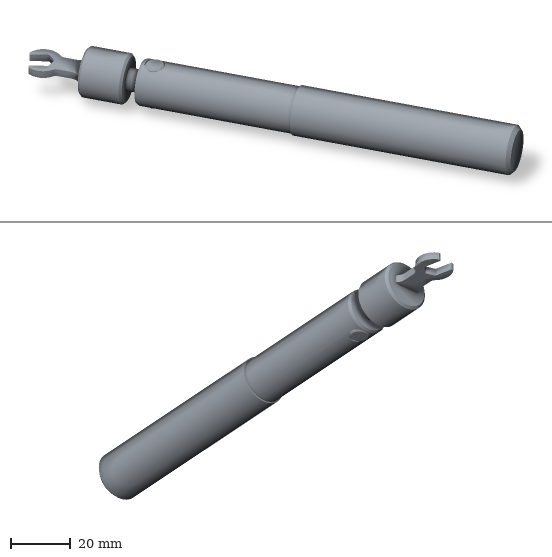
import cadquery as cq
import math

COLLAR_START = 20.2
COLLAR_END = 35.7
HANDLE_START = 40.0
GRIP_START = 94.7
TOOL_END = 171.5

COLLAR_RADIUS = 8.7
NECK_RADIUS = 4.0
HANDLE_RADIUS = 8.0
GRIP_RADIUS = 8.5

COLLAR_CHAMFER = 0.9
HANDLE_CHAMFER_LENGTH = 1.0
HANDLE_CHAMFER_DEPTH = 0.5
GRIP_CHAMFER = 1.4

BLADE_THICKNESS = 2.7
WRENCH_RADIUS = 6.3
JAW_OPENING = 6.3
JAW_REACH = 4.8
JAW_ANGLE = 15.0
STEM_HALF_WIDTH = 3.6
STEM_START = 12.0
FLARE_START = 16.5
FLARE_END = 19.5
FLARE_HALF_WIDTH = 4.8
FLARE_RADIUS = 4.5

PIN_X = 44.8
PIN_RADIUS = 3.5
PIN_CHAMFER = 0.5

jaw_angle = math.radians(JAW_ANGLE)
jaw_tip_offset = math.sqrt(WRENCH_RADIUS**2 - JAW_REACH**2)
WRENCH_X = JAW_REACH * math.cos(jaw_angle) + jaw_tip_offset * math.sin(jaw_angle)


def turned_body():
    """Collar, neck, handle and grip as one revolved outline about X."""
    handle_nose_radius = HANDLE_RADIUS - HANDLE_CHAMFER_DEPTH
    outline = [
        (COLLAR_START, 0),
        (COLLAR_START, COLLAR_RADIUS - COLLAR_CHAMFER),
        (COLLAR_START + COLLAR_CHAMFER, COLLAR_RADIUS),
        (COLLAR_END - COLLAR_CHAMFER, COLLAR_RADIUS),
        (COLLAR_END, COLLAR_RADIUS - COLLAR_CHAMFER),
        (COLLAR_END, NECK_RADIUS),
        (HANDLE_START, NECK_RADIUS),
        (HANDLE_START, handle_nose_radius),
        (HANDLE_START + HANDLE_CHAMFER_LENGTH, HANDLE_RADIUS),
        (GRIP_START, HANDLE_RADIUS),
        (GRIP_START, GRIP_RADIUS),
        (TOOL_END - GRIP_CHAMFER, GRIP_RADIUS),
        (TOOL_END, GRIP_RADIUS - GRIP_CHAMFER),
        (TOOL_END, 0),
    ]
    return cq.Workplane("XY").polyline(outline).close().revolve(360, (0, 0, 0), (1, 0, 0))


def blade_stem():
    """Stem between wrench disc and collar, blended into the disc and flared at its root."""
    run = STEM_START - WRENCH_X
    blend_radius = (run**2 + STEM_HALF_WIDTH**2 - WRENCH_RADIUS**2) / (
        2 * (WRENCH_RADIUS - STEM_HALF_WIDTH)
    )
    blend_center_y = STEM_HALF_WIDTH + blend_radius
    disc_share = WRENCH_RADIUS / (WRENCH_RADIUS + blend_radius)
    touch_x = WRENCH_X + disc_share * run
    touch_y = disc_share * blend_center_y

    outline = cq.Workplane("XY").moveTo(touch_x, -touch_y).lineTo(touch_x, touch_y)
    outline = outline.radiusArc((STEM_START, STEM_HALF_WIDTH), -blend_radius)
    outline = outline.lineTo(FLARE_START, STEM_HALF_WIDTH)
    outline = outline.radiusArc((FLARE_END, FLARE_HALF_WIDTH), -FLARE_RADIUS)
    outline = outline.lineTo(COLLAR_START, FLARE_HALF_WIDTH)
    outline = outline.lineTo(COLLAR_START, -FLARE_HALF_WIDTH)
    outline = outline.lineTo(FLARE_END, -FLARE_HALF_WIDTH)
    outline = outline.radiusArc((FLARE_START, -STEM_HALF_WIDTH), -FLARE_RADIUS)
    outline = outline.lineTo(STEM_START, -STEM_HALF_WIDTH)
    outline = outline.radiusArc((touch_x, -touch_y), -blend_radius)
    return outline.close().extrude(BLADE_THICKNESS / 2, both=True)


def jaw_cutter():
    """Hexagon-backed jaw slot and the flat that trims the jaw ends, tilted by the jaw angle."""
    half_opening = JAW_OPENING / 2
    hex_radius = JAW_OPENING / math.sqrt(3)
    slot = [
        (-WRENCH_RADIUS, half_opening),
        (hex_radius / 2, half_opening),
        (hex_radius, 0),
        (hex_radius / 2, -half_opening),
        (-WRENCH_RADIUS, -half_opening),
    ]
    cutter = cq.Workplane("XY").polyline(slot).close().extrude(BLADE_THICKNESS, both=True)
    trim = (
        cq.Workplane("XY")
        .rect(2 * WRENCH_RADIUS, 2 * WRENCH_RADIUS)
        .extrude(BLADE_THICKNESS, both=True)
        .translate((-JAW_REACH - WRENCH_RADIUS, 0, 0))
    )
    cutter = cutter.union(trim)
    return cutter.rotate((0, 0, 0), (0, 0, 1), JAW_ANGLE).translate((WRENCH_X, 0, 0))


def wrench_blade():
    disc = cq.Workplane("XY").center(WRENCH_X, 0).circle(WRENCH_RADIUS)
    disc = disc.extrude(BLADE_THICKNESS / 2, both=True)
    return disc.union(blade_stem()).cut(jaw_cutter())


def pin_cylinder():
    """Cylinder across the full handle diameter along Z."""
    return cq.Workplane("XY").center(PIN_X, 0).circle(PIN_RADIUS).extrude(HANDLE_RADIUS, both=True)


def wrench_body():
    return turned_body().union(wrench_blade()).cut(pin_cylinder())


def cross_pin():
    return pin_cylinder().faces("|Z").chamfer(PIN_CHAMFER)


body = wrench_body()
pin = cross_pin()
result = cq.Compound.makeCompound([body.val(), pin.val()])